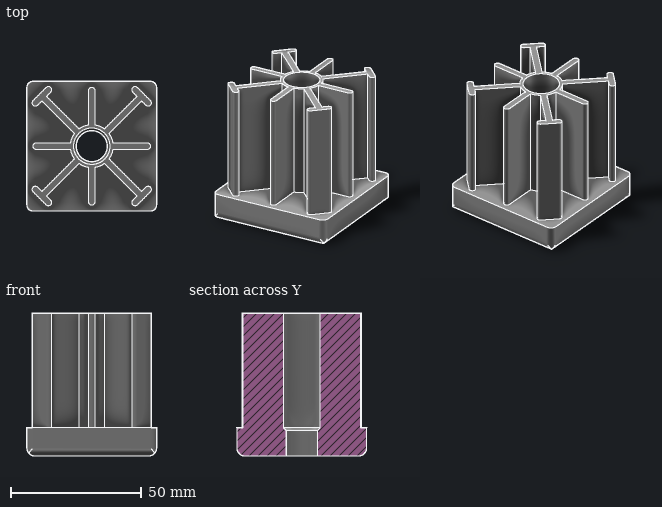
import cadquery as cq

cap_size = 50.0
cap_height = 10.99
cap_corner_radius = 2.5
cap_edge_radius = 3.25

insert_height = 44.0
rib_thickness = 2.5
straight_rib_reach = 22.6
bar_length = 9.6
bar_center_radius = 27.1

bore_diameter = 14.0
hub_wall = 1.25
outlet_diameter = 11.84

total_height = cap_height + insert_height
hub_diameter = bore_diameter + 2 * hub_wall
straight_rib_length = 2 * straight_rib_reach
bore_radius = bore_diameter / 2
outlet_radius = outlet_diameter / 2
seat_height = bore_radius - outlet_radius


def edge_rounded_prism():
    """Square prism along Y whose two bottom edges are rounded."""
    return (
        cq.Workplane("XY")
        .box(cap_size, cap_size, cap_height, centered=(True, True, False))
        .edges("|Y and <Z")
        .fillet(cap_edge_radius)
    )


def make_cap():
    """Square cap with round upright corners and mitred, rounded bottom edges."""
    cap = (
        cq.Workplane("XY")
        .rect(cap_size, cap_size)
        .extrude(cap_height)
        .edges("|Z")
        .fillet(cap_corner_radius)
    )
    along_y = edge_rounded_prism()
    along_x = along_y.rotate((0, 0, 0), (0, 0, 1), 90)
    return cap.intersect(along_y).intersect(along_x)


def insert_plane():
    """Workplane on the top face of the cap."""
    return cq.Workplane("XY").workplane(offset=cap_height)


def make_hub():
    """Solid round hub; the bore is cut afterwards."""
    return insert_plane().circle(hub_diameter / 2).extrude(insert_height)


def make_straight_rib(angle):
    """Round-ended rib that runs through the hub axis to both sides."""
    return (
        insert_plane()
        .slot2D(straight_rib_length, rib_thickness, angle)
        .extrude(insert_height)
    )


def make_corner_rib(angle):
    """Rib from the hub axis to a round-ended cross bar near one cap corner."""
    web = (
        insert_plane()
        .center(bar_center_radius / 2, 0)
        .rect(bar_center_radius, rib_thickness)
        .extrude(insert_height)
    )
    bar = (
        insert_plane()
        .center(bar_center_radius, 0)
        .slot2D(bar_length, rib_thickness, 90)
        .extrude(insert_height)
    )
    return web.union(bar).rotate((0, 0, 0), (0, 0, 1), angle)


def make_bore():
    """Wide bore through the insert, a conical seat in the cap and a narrower outlet below."""
    profile = [
        (0, 0),
        (outlet_radius, 0),
        (outlet_radius, cap_height - seat_height),
        (bore_radius, cap_height),
        (bore_radius, total_height),
        (0, total_height),
    ]
    return cq.Workplane("XZ").polyline(profile).close().revolve(360, (0, 0, 0), (0, 1, 0))


body = make_cap().union(make_hub())
for straight_angle in (0, 90):
    body = body.union(make_straight_rib(straight_angle))
for corner_angle in (45, 135, 225, 315):
    body = body.union(make_corner_rib(corner_angle))

result = body.cut(make_bore())